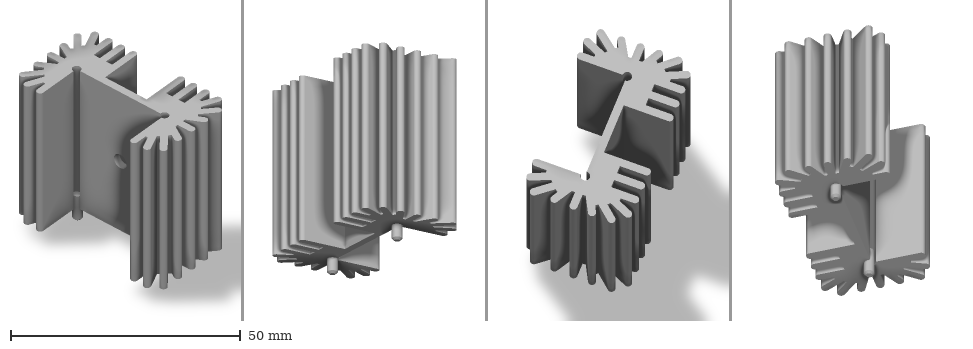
import cadquery as cq

WIDTH = 42.1
DEPTH = 25.0
HEIGHT = 38.1

FIN_WIDTH = 1.75
FIN_RADIUS = FIN_WIDTH / 2
FIN_PITCH = 2 * FIN_WIDTH
SIDE_TIP_X = WIDTH / 2 - FIN_RADIUS
END_TIP_Y = DEPTH / 2 - FIN_RADIUS

WEB_FRONT_Y = -0.6
WEB_BACK_Y = 1.25
LEG_INNER_X = 12.65
INNER_FIN_FACE_X = 6.0
STRAIGHT_FIN_FLOOR_Y = 5.7

BACK_FLOOR_Y = 8.6
FRONT_FLOOR_Y = -8.85
SIDE_FLOOR_X = 17.0

MOUNT_HOLE_DIAMETER = 3.65

GROOVE_RADIUS = 1.05
GROOVE_Y = -0.5

PIN_RADIUS = 1.2
PIN_X = 12.8
PIN_Y = 0.0
PIN_EXPOSED = 3.5
PIN_INSERTED = 3.5
PIN_TIP_RADIUS = 0.67
PIN_TIP_LENGTH = 0.5

STRAIGHT_FIN_COUNT = 3
STRAIGHT_FIN_X = [INNER_FIN_FACE_X + FIN_RADIUS + i * FIN_PITCH for i in range(STRAIGHT_FIN_COUNT)]

FANNED_FINS = [
    (17.7, 11.4, 66, 5.9),
    (SIDE_TIP_X, 8.5, 49, 5.05),
    (SIDE_TIP_X, 3.95, 28, 4.2),
    (SIDE_TIP_X, -0.35, 0, 4.2),
    (SIDE_TIP_X, -4.8, -30, 4.2),
    (SIDE_TIP_X, -9.6, -51, 5.9),
    (17.2, -11.6, -66, 5.9),
]

CORE_OUTLINE = [
    (0, WEB_BACK_Y),
    (INNER_FIN_FACE_X, WEB_BACK_Y),
    (INNER_FIN_FACE_X, STRAIGHT_FIN_FLOOR_Y),
    (STRAIGHT_FIN_X[-1], STRAIGHT_FIN_FLOOR_Y),
    (STRAIGHT_FIN_X[-1], BACK_FLOOR_Y),
    (15.85, BACK_FLOOR_Y),
    (16.45, 7.1),
    (17.45, 6.15),
    (17.7, 4.75),
    (18.7, 3.75),
    (SIDE_FLOOR_X, 1.6),
    (SIDE_FLOOR_X, -2.27),
    (18.7, -4.42),
    (17.7, -5.6),
    (16.93, -6.35),
    (15.88, -7.35),
    (15.4, FRONT_FLOOR_Y),
    (LEG_INNER_X, FRONT_FLOOR_Y),
    (LEG_INNER_X, WEB_FRONT_Y),
    (0, WEB_FRONT_Y),
]


def make_fin(tip_x, tip_y, angle, length):
    """Full-height fin with a round tip, running inward from its tip centre."""
    blade = cq.Workplane("XY").center(-length / 2, 0).rect(length, FIN_WIDTH).extrude(HEIGHT)
    tip = cq.Workplane("XY").circle(FIN_RADIUS).extrude(HEIGHT)
    fin = blade.union(tip)
    return fin.rotate((0, 0, 0), (0, 0, 1), angle).translate((tip_x, tip_y, 0))


def make_half():
    """Right-hand half of the extrusion, from the middle of the web outward."""
    half = cq.Workplane("XY").polyline(CORE_OUTLINE).close().extrude(HEIGHT)
    straight_fin_length = END_TIP_Y - STRAIGHT_FIN_FLOOR_Y
    for x in STRAIGHT_FIN_X:
        half = half.union(make_fin(x, END_TIP_Y, 90, straight_fin_length))
    for tip_x, tip_y, angle, length in FANNED_FINS:
        half = half.union(make_fin(tip_x, tip_y, angle, length))
    leg_length = END_TIP_Y + FRONT_FLOOR_Y
    half = half.union(make_fin(LEG_INNER_X + FIN_RADIUS, -END_TIP_Y, -90, leg_length))
    groove = cq.Workplane("XY").center(LEG_INNER_X, GROOVE_Y).circle(GROOVE_RADIUS).extrude(HEIGHT)
    return half.cut(groove)


def make_heat_sink():
    """Mirrored extrusion with the mounting hole and the two pin recesses."""
    right_half = make_half()
    sink = right_half.union(right_half.mirror("YZ"))
    mount_hole = (
        cq.Workplane("XZ", origin=(0, WEB_BACK_Y, HEIGHT / 2))
        .circle(MOUNT_HOLE_DIAMETER / 2)
        .extrude(WEB_BACK_Y - WEB_FRONT_Y)
    )
    recesses = (
        cq.Workplane("XY")
        .pushPoints([(-PIN_X, PIN_Y), (PIN_X, PIN_Y)])
        .circle(PIN_RADIUS)
        .extrude(PIN_INSERTED)
    )
    return sink.cut(mount_hole).cut(recesses)


def make_pin(x):
    """Round pin with a conical lower end."""
    profile = [
        (0, -PIN_EXPOSED),
        (PIN_TIP_RADIUS, -PIN_EXPOSED),
        (PIN_RADIUS, PIN_TIP_LENGTH - PIN_EXPOSED),
        (PIN_RADIUS, PIN_INSERTED),
        (0, PIN_INSERTED),
    ]
    pin = cq.Workplane("XZ").polyline(profile).close().revolve(360, (0, 0, 0), (0, 1, 0))
    return pin.translate((x, PIN_Y, 0))


heat_sink = make_heat_sink()
pins = [make_pin(x) for x in (-PIN_X, PIN_X)]

result = cq.Compound.makeCompound([heat_sink.val(), *[pin.val() for pin in pins]])